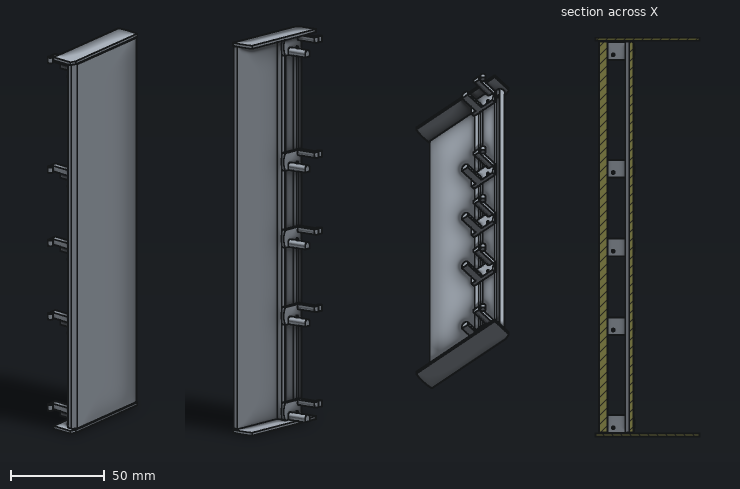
import cadquery as cq

TOTAL_HEIGHT = 213.0
BACK_X = 9.8

CAP_THICKNESS = 1.7
CAP_FRONT_X = -3.2
CAP_PLUS_Y = 27.3
CAP_BULGE = 0.6
CAP_MINUS_Y = -27.9
CAP_CHAMFER_X = 1.3
CAP_CHAMFER_Y = 3.0
CAP_PIN_LENGTH = 5.1

PANEL_END_GAP = 0.5
PANEL_FACE_X = 7.2
RAIL_X = 4.3
PANEL_PLUS_Y = 26.6
RIB_Y = -7.5
RIB_STEM = 2.1
RIDGE_Y = -10.5
RIDGE_TIP_X = 4.7
RIDGE_TIP_Y = -11.5
RIB_EDGE_X = 5.5
RIB_EDGE_Y = -12.0
SCOOP_DEPTH = 0.32
LIP_X = 4.7
LIP_Y = -21.3
GROOVE_Y = -23.6
GROOVE_WIDTH = 2.0
GROOVE_DEPTH = 2.0
NOSE_START_Y = -25.0
NOSE_CREST_X = 6.2
NOSE_CREST_Y = -26.0
NOSE_END_X = 7.5
NOSE_END_Y = -25.8
BEVEL_END_Y = -23.6

BRACKET_HEIGHT = 9.5
BRACKET_TOPS = [11.5, 63.7, 105.8, 147.8, 210.5]
BRACKET_FACE_X = 1.7
BRACKET_BACK_X = 3.8
BRACKET_HOLLOW = 0.53
BRACKET_PLUS_Y = -7.5
BRACKET_BULGE = 0.6
BRACKET_MINUS_Y = -22.1
TIP_X = -9.5
ARM_THICKNESS = 3.2
ARM_PLUS_Y = -18.3
ARM_CORNER_RADIUS = 1.7
BEAD_DIAMETER = 2.8
BEAD_Y = -24.0
BEAD_TIP_X = -9.8
NECK_WIDTH = 1.3
PEG_WIDTH = 4.0
PEG_HEIGHT = 3.8
PEG_Y = -12.3
PIN_HOLE_DIAMETER = 1.4
PIN_HOLE_Y = -18.3
PIN_HOLE_DROP = 6.8

cap_inner_z = TOTAL_HEIGHT - CAP_THICKNESS
panel_bottom = CAP_THICKNESS + PANEL_END_GAP
panel_top = cap_inner_z - PANEL_END_GAP


def groove_prism(base_z, length):
    """Round-bottomed prism that cuts the groove and also forms the cap pin in it."""
    half = GROOVE_WIDTH / 2
    round_x = RAIL_X + GROOVE_DEPTH - half
    return (
        cq.Workplane("XY", origin=(0, 0, base_z))
        .moveTo(RAIL_X, GROOVE_Y + half)
        .lineTo(round_x, GROOVE_Y + half)
        .threePointArc((RAIL_X + GROOVE_DEPTH, GROOVE_Y), (round_x, GROOVE_Y - half))
        .lineTo(RAIL_X, GROOVE_Y - half)
        .close()
        .extrude(length)
    )


def make_panel():
    """Plate with a scooped, undercut rib and a grooved lip along its length."""
    length = panel_top - panel_bottom
    scoop_y = (RIB_Y + RIDGE_Y) / 2
    profile = (
        cq.Workplane("XY", origin=(0, 0, panel_bottom))
        .moveTo(BACK_X, PANEL_PLUS_Y)
        .lineTo(PANEL_FACE_X, PANEL_PLUS_Y)
        .lineTo(PANEL_FACE_X, RIB_Y)
        .lineTo(RAIL_X, RIB_Y)
        .threePointArc((RAIL_X + SCOOP_DEPTH, scoop_y), (RAIL_X, RIDGE_Y))
        .lineTo(RIDGE_TIP_X, RIDGE_TIP_Y)
        .lineTo(RIB_EDGE_X, RIB_EDGE_Y)
        .lineTo(PANEL_FACE_X, RIB_Y - RIB_STEM)
        .lineTo(PANEL_FACE_X, LIP_Y)
        .lineTo(LIP_X, LIP_Y)
        .lineTo(LIP_X, GROOVE_Y)
        .lineTo(RAIL_X, GROOVE_Y)
        .lineTo(RAIL_X, NOSE_START_Y)
        .threePointArc((NOSE_CREST_X, NOSE_CREST_Y), (NOSE_END_X, NOSE_END_Y))
        .lineTo(BACK_X, BEVEL_END_Y)
        .close()
    )
    return profile.extrude(length).cut(groove_prism(panel_bottom, length))


def make_cap(base_z, pin_base_z):
    """End cap with a bulged +Y end, one chamfered corner and a pin in the panel groove."""
    middle_x = (CAP_FRONT_X + BACK_X) / 2
    plate = (
        cq.Workplane("XY", origin=(0, 0, base_z))
        .moveTo(CAP_FRONT_X, CAP_MINUS_Y)
        .lineTo(BACK_X - CAP_CHAMFER_X, CAP_MINUS_Y)
        .lineTo(BACK_X, CAP_MINUS_Y + CAP_CHAMFER_Y)
        .lineTo(BACK_X, CAP_PLUS_Y)
        .threePointArc((middle_x, CAP_PLUS_Y + CAP_BULGE), (CAP_FRONT_X, CAP_PLUS_Y))
        .close()
        .extrude(CAP_THICKNESS)
    )
    return plate.union(groove_prism(pin_base_z, CAP_PIN_LENGTH))


def bracket_plate():
    """Base plate with its top at z = 0, hollowed toward +X and bulged at its +Y end."""
    outline = (
        cq.Workplane("YZ", origin=(BRACKET_FACE_X, 0, 0))
        .moveTo(BRACKET_MINUS_Y, 0)
        .lineTo(BRACKET_PLUS_Y, 0)
        .threePointArc(
            (BRACKET_PLUS_Y + BRACKET_BULGE, -BRACKET_HEIGHT / 2), (BRACKET_PLUS_Y, -BRACKET_HEIGHT)
        )
        .lineTo(BRACKET_MINUS_Y, -BRACKET_HEIGHT)
        .close()
        .extrude(BRACKET_BACK_X - BRACKET_FACE_X)
    )
    hollow = (
        cq.Workplane("XZ")
        .moveTo(BRACKET_FACE_X, 0)
        .threePointArc(
            (BRACKET_FACE_X + BRACKET_HOLLOW, -BRACKET_HEIGHT / 2), (BRACKET_FACE_X, -BRACKET_HEIGHT)
        )
        .close()
        .extrude(-BRACKET_MINUS_Y)
    )
    return outline.cut(hollow)


def bracket_foot():
    """Foot behind the plate that bears on the sloped ridge of the rib."""
    return (
        cq.Workplane("XY", origin=(0, 0, -BRACKET_HEIGHT))
        .moveTo(BRACKET_BACK_X, RIDGE_Y)
        .lineTo(RAIL_X, RIDGE_Y)
        .lineTo(RIDGE_TIP_X, RIDGE_TIP_Y)
        .lineTo(BRACKET_BACK_X, RIDGE_TIP_Y)
        .close()
        .extrude(BRACKET_HEIGHT)
    )


def bracket_arm():
    """Flat arm along X with a rounded lower edge and an upright bead at its tip."""
    bead_x = BEAD_TIP_X + BEAD_DIAMETER / 2
    arm = (
        cq.Workplane("XY")
        .box(BRACKET_BACK_X - TIP_X, ARM_PLUS_Y - BRACKET_MINUS_Y, ARM_THICKNESS, centered=False)
        .translate((TIP_X, BRACKET_MINUS_Y, -ARM_THICKNESS))
        .edges("|X and >Y and <Z")
        .fillet(ARM_CORNER_RADIUS)
    )
    bead = (
        cq.Workplane("XY", origin=(bead_x, BEAD_Y, -ARM_THICKNESS))
        .circle(BEAD_DIAMETER / 2)
        .extrude(ARM_THICKNESS)
    )
    neck = (
        cq.Workplane("XY")
        .box(NECK_WIDTH, BRACKET_MINUS_Y - BEAD_Y, ARM_THICKNESS, centered=False)
        .translate((bead_x - NECK_WIDTH / 2, BEAD_Y, -ARM_THICKNESS))
    )
    return arm.union(neck).union(bead)


def bracket_peg():
    """Round-topped peg along X, flush with the bottom of the plate."""
    half = PEG_WIDTH / 2
    spring_z = -BRACKET_HEIGHT + PEG_HEIGHT - half
    return (
        cq.Workplane("YZ", origin=(TIP_X, 0, 0))
        .moveTo(PEG_Y - half, -BRACKET_HEIGHT)
        .lineTo(PEG_Y + half, -BRACKET_HEIGHT)
        .lineTo(PEG_Y + half, spring_z)
        .threePointArc((PEG_Y, spring_z + half), (PEG_Y - half, spring_z))
        .close()
        .extrude(BRACKET_BACK_X - TIP_X)
    )


def make_bracket(top_z):
    """Plate, foot, arm and peg as one solid, with a pin hole through the plate."""
    pin_hole = (
        cq.Workplane("YZ", origin=(BRACKET_FACE_X, PIN_HOLE_Y, -PIN_HOLE_DROP))
        .circle(PIN_HOLE_DIAMETER / 2)
        .extrude(BRACKET_BACK_X - BRACKET_FACE_X)
    )
    body = bracket_plate().union(bracket_foot()).union(bracket_arm()).union(bracket_peg())
    return body.cut(pin_hole).translate((0, 0, top_z))


panel = make_panel()
caps = [
    make_cap(0, CAP_THICKNESS),
    make_cap(cap_inner_z, cap_inner_z - CAP_PIN_LENGTH),
]
brackets = [make_bracket(top_z) for top_z in BRACKET_TOPS]

result = cq.Compound.makeCompound(
    [panel.val(), *[cap.val() for cap in caps], *[bracket.val() for bracket in brackets]]
)